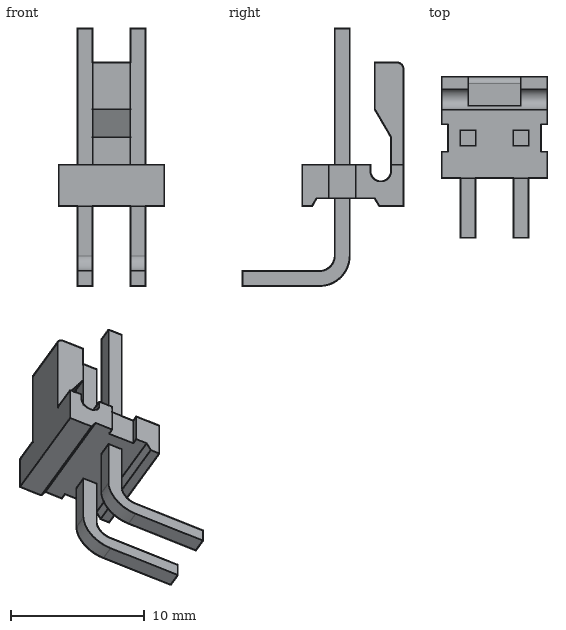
import cadquery as cq

pin_size = 1.14
pin_pitch = 3.95
pin_top = 13.31
pin_bottom = -5.98
pin_tip_y = -7.47
bend_inner_radius = 1.14
bend_outer_radius = bend_inner_radius + pin_size

housing_width = 7.93
housing_height = 3.1
housing_back = 4.6
housing_front = -2.99

relief_depth = 0.58
relief_slope_run = 0.35
relief_back = 2.78
relief_front = -2.25

notch_depth = 0.48
notch_back = 1.02
notch_front = -1.02

latch_width = 3.95
latch_thickness = 0.95
latch_top = 10.76
latch_round = 0.5
hook_thickness = 2.16
hook_bottom = 7.25
hook_slope_bottom = 5.17
groove_width = 1.52
groove_depth = 1.23


def extrude_across(outline, width):
    """Extrude a closed YZ outline symmetrically about X = 0."""
    return outline.close().extrude(width / 2, both=True)


def make_housing():
    groove_back = housing_back - latch_thickness
    groove_front = groove_back - groove_width
    groove_floor = housing_height - groove_depth
    groove_spring = groove_floor + groove_width / 2
    outline = (
        cq.Workplane("YZ")
        .moveTo(housing_front, 0)
        .lineTo(relief_front, 0)
        .lineTo(relief_front + relief_slope_run, relief_depth)
        .lineTo(relief_back - relief_slope_run, relief_depth)
        .lineTo(relief_back, 0)
        .lineTo(housing_back, 0)
        .lineTo(housing_back, housing_height)
        .lineTo(groove_back, housing_height)
        .lineTo(groove_back, groove_spring)
        .threePointArc(((groove_back + groove_front) / 2, groove_floor), (groove_front, groove_spring))
        .lineTo(groove_front, housing_height)
        .lineTo(housing_front, housing_height)
    )
    housing = extrude_across(outline, housing_width)
    notches = (
        cq.Workplane("XY")
        .pushPoints([(side * housing_width / 2, (notch_back + notch_front) / 2) for side in (-1, 1)])
        .rect(2 * notch_depth, notch_back - notch_front)
        .extrude(housing_height)
    )
    return housing.cut(notches)


def make_latch():
    inner_face = housing_back - latch_thickness
    hook_face = housing_back - hook_thickness
    outline = (
        cq.Workplane("YZ")
        .moveTo(housing_back, housing_height)
        .lineTo(housing_back, latch_top - latch_round)
        .radiusArc((housing_back - latch_round, latch_top), -latch_round)
        .lineTo(hook_face, latch_top)
        .lineTo(hook_face, hook_bottom)
        .lineTo(inner_face, hook_slope_bottom)
        .lineTo(inner_face, housing_height)
    )
    return extrude_across(outline, latch_width)


def make_pin(x):
    half = pin_size / 2
    outline = (
        cq.Workplane("YZ")
        .moveTo(half, pin_top)
        .lineTo(half, pin_bottom + bend_outer_radius)
        .radiusArc((half - bend_outer_radius, pin_bottom), bend_outer_radius)
        .lineTo(pin_tip_y, pin_bottom)
        .lineTo(pin_tip_y, pin_bottom + pin_size)
        .lineTo(-half - bend_inner_radius, pin_bottom + pin_size)
        .radiusArc((-half, pin_bottom + bend_outer_radius), -bend_inner_radius)
        .lineTo(-half, pin_top)
    )
    return extrude_across(outline, pin_size).translate((x, 0, 0))


result = make_housing().union(make_latch())
for side in (-1, 1):
    result = result.union(make_pin(side * pin_pitch / 2))